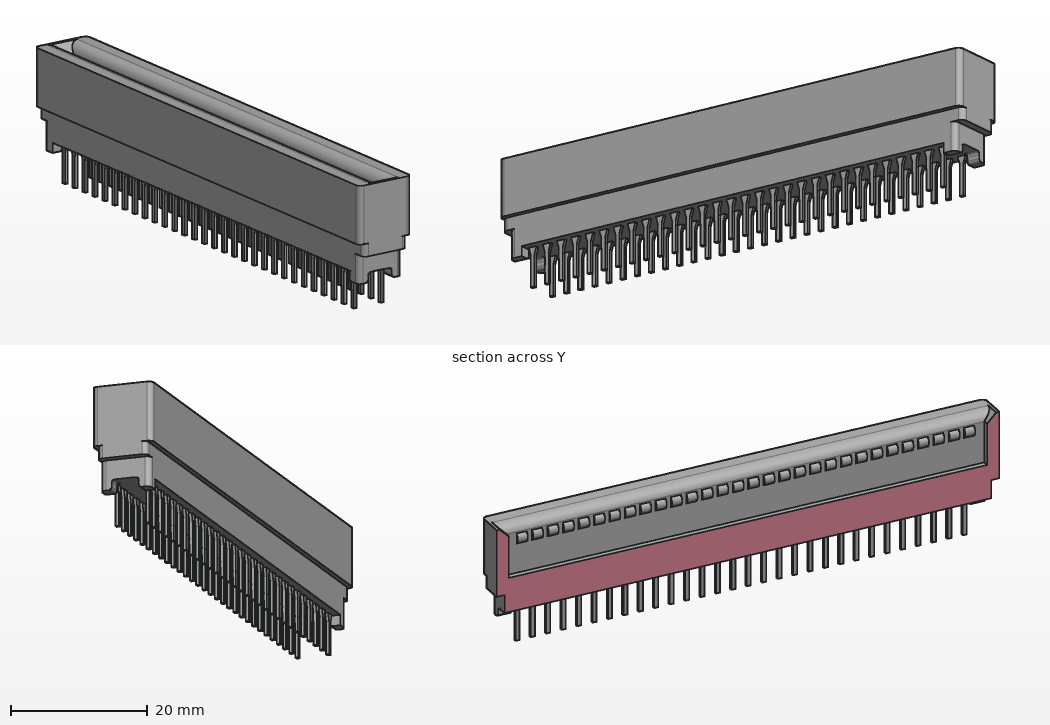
import cadquery as cq


length = 82.8
upper_width = 9.35
lower_width = 7.8
base_length = 80.15
corner_radius = 0.8
upper_depth = 9.0
middle_depth = 11.0
standoff_depth = 14.0
foot_depth = 15.6

foot_thickness = 2.15
foot_gap_width = 4.2
foot_gap_radius = 0.5

slot_length = 78.75
slot_width = 1.7
slot_depth = 8.3
mouth_inset = 1.7
mouth_depth = 1.5
mouth_radius = (mouth_inset**2 + mouth_depth**2) / (2 * mouth_depth)
end_slope = mouth_depth

positions = 30
pin_span = 73.7
pin_pitch = pin_span / (positions - 1)
contact_width = 1.65
contact_bulge = 0.4
contact_top_depth = 1.8
contact_height = 1.65
pin_row_spacing = 4.8
pin_tip_depth = 20.2
pin_width = 0.7
pin_thickness = 0.5
shoulder_width = 1.4
shoulder_height = 1.25


def rounded_block(block_length, block_width, top_depth, bottom_depth):
    """Block with rounded vertical edges between two depths."""
    height = bottom_depth - top_depth
    block = cq.Workplane("XY", origin=(0, 0, -bottom_depth)).rect(block_length, block_width).extrude(height)
    return block.edges("|Z").fillet(corner_radius)


def housing():
    """Stepped housing, before the slot and the underside are cut."""
    upper = rounded_block(length, upper_width, 0, upper_depth)
    middle = rounded_block(length, lower_width, upper_depth, middle_depth)
    base = rounded_block(base_length, lower_width, middle_depth, foot_depth)
    return upper.union(middle).union(base)


def underside_recess():
    """Space between the two end feet, open to both long sides."""
    return (
        cq.Workplane("XY", origin=(0, 0, -foot_depth))
        .rect(base_length - 2 * foot_thickness, lower_width)
        .extrude(foot_depth - standoff_depth)
    )


def foot_gap():
    """Arch along X through both feet, with rounded roof and flared bottom edges."""
    half_gap = foot_gap_width / 2
    r = foot_gap_radius
    return (
        cq.Workplane("YZ", origin=(-base_length / 2, 0, 0))
        .moveTo(-half_gap - r, -foot_depth)
        .radiusArc((-half_gap, -foot_depth + r), -r)
        .lineTo(-half_gap, -standoff_depth - r)
        .radiusArc((-half_gap + r, -standoff_depth), r)
        .lineTo(half_gap - r, -standoff_depth)
        .radiusArc((half_gap, -standoff_depth - r), r)
        .lineTo(half_gap, -foot_depth + r)
        .radiusArc((half_gap + r, -foot_depth), -r)
        .close()
        .extrude(base_length)
    )


def card_slot():
    """Narrow card slot together with its flared mouth."""
    slot = (
        cq.Workplane("XY", origin=(0, 0, -slot_depth))
        .rect(slot_length, slot_width)
        .extrude(slot_depth)
    )
    half_slot = slot_width / 2
    half_mouth = half_slot + mouth_inset
    mouth_length = slot_length + 2 * end_slope
    side_profile = (
        cq.Workplane("YZ", origin=(-mouth_length / 2, 0, 0))
        .moveTo(-half_mouth, 0)
        .radiusArc((-half_slot, -mouth_depth), mouth_radius)
        .lineTo(half_slot, -mouth_depth)
        .radiusArc((half_mouth, 0), mouth_radius)
        .close()
        .extrude(mouth_length)
    )
    end_profile = (
        cq.Workplane("XZ", origin=(0, half_mouth, 0))
        .moveTo(-mouth_length / 2, 0)
        .lineTo(-slot_length / 2, -mouth_depth)
        .lineTo(slot_length / 2, -mouth_depth)
        .lineTo(mouth_length / 2, 0)
        .close()
        .extrude(2 * half_mouth)
    )
    return slot.union(side_profile.intersect(end_profile))


def contact(x, side):
    """Spring bulge on one slot wall; side is +1 or -1 along Y."""
    wall = side * slot_width / 2
    crest = wall - side * contact_bulge
    crest_depth = contact_top_depth + contact_height / 2
    contact_bottom_depth = contact_top_depth + contact_height
    return (
        cq.Workplane("YZ", origin=(x - contact_width / 2, 0, 0))
        .moveTo(wall, -contact_top_depth)
        .threePointArc((crest, -crest_depth), (wall, -contact_bottom_depth))
        .close()
        .extrude(contact_width)
    )


def pin(x, side):
    """Solder pin with a tapered shoulder under the housing."""
    shoulder_bottom = -standoff_depth - shoulder_height
    half_shoulder = shoulder_width / 2
    half_pin = pin_width / 2
    return (
        cq.Workplane("XZ", origin=(x, side * pin_row_spacing / 2 + pin_thickness / 2, 0))
        .moveTo(-half_shoulder, -standoff_depth)
        .lineTo(half_shoulder, -standoff_depth)
        .lineTo(half_pin, shoulder_bottom)
        .lineTo(half_pin, -pin_tip_depth)
        .lineTo(-half_pin, -pin_tip_depth)
        .lineTo(-half_pin, shoulder_bottom)
        .close()
        .extrude(pin_thickness)
    )


body = housing().cut(underside_recess()).cut(foot_gap()).cut(card_slot())

terminals = []
for index in range(positions):
    terminal_x = -pin_span / 2 + index * pin_pitch
    for row_side in (-1, 1):
        terminals.append(contact(terminal_x, row_side).val())
        terminals.append(pin(terminal_x, row_side).val())

result = cq.Workplane(body.val().fuse(*terminals))